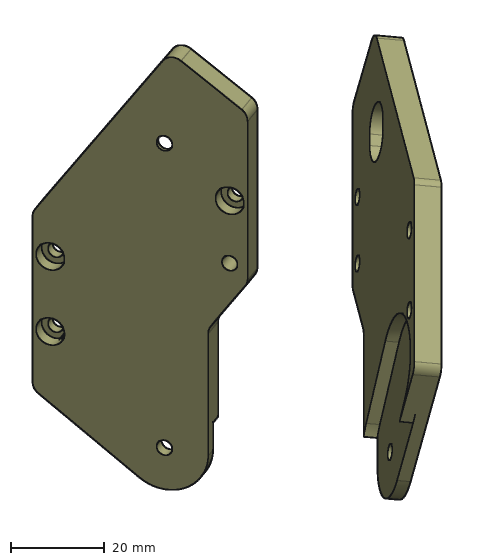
import cadquery as cq
import math

height = 104.0
width = 49.0
thickness = 6.0
corner_radius = 3.0

hub_radius = 10.0
pivot_x = 30.1
pivot_z = hub_radius
neck_x = pivot_x + hub_radius
neck_z = 40.2
long_edge_angle = 54.6
top_edge_angle = 33.4
lower_edge_angle = 34.7
top_arc_x = 32.1

hole_diameter = 3.5
counterbore_diameter = 6.5
counterbore_depth = 3.3
edge_distance = 4.1
left_hole_z = 33.1
left_hole_spacing = 18.0
right_hole_z = 57.0
right_hole_spacing = 15.0
top_hole_spacing = 73.0

pivot_slot_depth = thickness / 2
pivot_slot_length = 20.3
pivot_slot_radius = 11.9
pivot_slot_angle = 138.0

top_slot_depth = 5.0
top_slot_length = 2.6
top_slot_radius = 5.2
top_slot_angle = -90.0


def cylinder(x, z, diameter, y_start, y_end):
    """Cylinder along Y between two depths."""
    plane = cq.Workplane("XZ", origin=(x, y_start, z))
    return plane.circle(diameter / 2).extrude(y_start - y_end)


def top_corner():
    """Sharp corner whose rounding just reaches the full height."""
    long_edge = math.radians(long_edge_angle)
    top_edge = math.radians(top_edge_angle)
    normal_sum_x = math.sin(top_edge) - math.sin(long_edge)
    normal_sum_z = math.cos(top_edge) + math.cos(long_edge)
    reach = corner_radius / (1 + math.cos(long_edge + top_edge))
    arc_z = height - corner_radius
    return top_arc_x + reach * normal_sum_x, arc_z + reach * normal_sum_z


def make_plate():
    long_slope = math.tan(math.radians(long_edge_angle))
    top_slope = math.tan(math.radians(top_edge_angle))
    lower_slope = math.tan(math.radians(lower_edge_angle))
    lower_angle = math.radians(lower_edge_angle)

    top_x, top_z = top_corner()
    left_upper_z = top_z - top_x * long_slope
    right_upper_z = top_z - (width - top_x) * top_slope
    right_lower_z = neck_z + (width - neck_x) * long_slope

    tangent_x = pivot_x - hub_radius * math.sin(lower_angle)
    tangent_z = pivot_z - hub_radius * math.cos(lower_angle)
    left_lower_z = tangent_z + tangent_x * lower_slope

    sharp_corners = [
        (0, left_lower_z),
        (0, left_upper_z),
        (top_x, top_z),
        (width, right_upper_z),
        (width, right_lower_z),
        (neck_x, neck_z),
    ]
    plate = (
        cq.Workplane("XZ")
        .moveTo(tangent_x, tangent_z)
        .polyline(sharp_corners, includeCurrent=True)
        .lineTo(neck_x, pivot_z)
        .threePointArc((pivot_x, pivot_z - hub_radius), (tangent_x, tangent_z))
        .close()
        .extrude(-thickness)
    )
    for x, z in sharp_corners:
        corner_edge = cq.selectors.NearestToPointSelector((x, thickness / 2, z))
        plate = plate.edges("|Y").edges(corner_edge).fillet(corner_radius)
    return plate


def back_slot(start, length, radius, angle, depth):
    """Round-ended slot sunk from the back face, its first end centred on start."""
    start_x, start_z = start
    centre_x = start_x + length / 2 * math.cos(math.radians(angle))
    centre_z = start_z + length / 2 * math.sin(math.radians(angle))
    return (
        cq.Workplane("XZ", origin=(centre_x, thickness - depth, centre_z))
        .slot2D(length + 2 * radius, 2 * radius, angle)
        .extrude(-depth)
    )


left_x = edge_distance
right_x = width - edge_distance
pivot_hole = (pivot_x, pivot_z)
top_hole = (pivot_x, pivot_z + top_hole_spacing)
plain_holes = [pivot_hole, top_hole, (right_x, right_hole_z)]
counterbored_holes = [
    (left_x, left_hole_z),
    (left_x, left_hole_z + left_hole_spacing),
    (right_x, right_hole_z + right_hole_spacing),
]

result = make_plate()

pivot_slot = back_slot(
    pivot_hole, pivot_slot_length, pivot_slot_radius, pivot_slot_angle, pivot_slot_depth
)
top_slot = back_slot(top_hole, top_slot_length, top_slot_radius, top_slot_angle, top_slot_depth)
result = result.cut(pivot_slot).cut(top_slot)

for x, z in plain_holes + counterbored_holes:
    result = result.cut(cylinder(x, z, hole_diameter, 0, thickness))

for x, z in counterbored_holes:
    result = result.cut(cylinder(x, z, counterbore_diameter, 0, counterbore_depth))